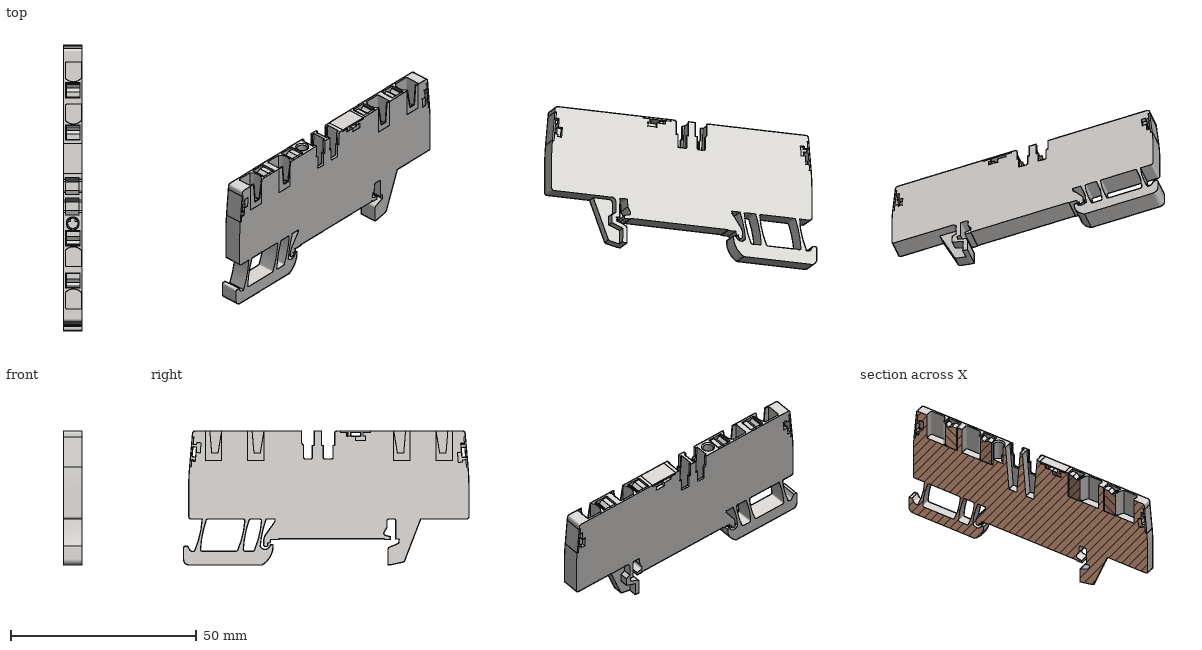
import cadquery as cq
import math


THICKNESS = 5.1
HEIGHT = 36.2
BODY_MID_Y = 0.7
BODY_HALF_LENGTH = 37.82
BODY_BOTTOM_Z = 12.4
END_TILT = 5.0
END_BEND_Z = 23.8
END_BEND_RADIUS = 60.0
TOP_CORNER_RADIUS = 0.8
BOTTOM_CORNER_RADIUS = 0.7

FOOT_END_Y = -38.52
FOOT_FLOOR_Z = 3.8
RAIL_FACE_Z = 7.05
RAIL_LIP_Z = 6.85
RAIL_SLOT_Y = (18.7, 16.45)
RAIL_SLOT_FILLET = 0.4
LEG_OFFSETS = (0.0, -4.5, -16.05)
LEG_ROOT_Y = (-16.2, -17.45)
LEG_END_Y = (-17.86, -19.5)
LEG_FILLET = 0.4
HOOK_FILLET = 0.8
FOOT_RECESS = 2.3

SIDE_WALL = 0.57
BRIDGE_POCKET_WIDTH = 3.73
BRIDGE_POCKET_LENGTH = 4.55
BRIDGE_POCKET_FLOOR = 2.35
BRIDGE_POCKET_DEPTH = 14.0
BRIDGE_SLOTS = ((0.5, 3.55, 2.6, 0.0), (-4.95, 3.4, 2.3, 0.65))
SLOT_FLOOR_Z = 28.65
SLOT_STEP_Z = 32.3
SLOT_FLOOR_FILLET = 0.35
SLOT_EDGE_FILLET = 0.6

CONDUCTOR_PITCH = 11.4
ENTRY_OUTER = 33.3
ENTRY_LENGTH = 5.35
ENTRY_BULGE = 0.95
ENTRY_WIDTH = 4.28
ENTRY_CORNER_RADIUS = 0.4
ENTRY_DEPTH = 8.0
NOTCH_TOP = (1.2, 4.4)
NOTCH_FLOOR = (1.7, 3.4)
NOTCH_DEPTH = 6.0
WINDOW_OUTER = 27.7
WINDOW_LENGTH = 4.1
WINDOW_WIDTH = 3.9
WINDOW_DEPTH = 8.0
PUSHER_END_GAP = 0.2
PUSHER_SIDE_GAP = 0.3
PUSHER_DROP = 0.4
PUSHER_RIM = 0.35
PUSHER_GROOVE_SLOPES = (0.9, 1.05)
PUSHER_GROOVE_DEPTH = 0.8

TEST_HOLE_Y = -9.54
TEST_HOLE_DIAMETER = 2.8
TEST_HOLE_MOUTH = 3.5
TEST_HOLE_DEPTH = 6.0
TEST_LEDGE_OFFSET = 0.55
TEST_LEDGE_HEIGHT = 2.0

MARKER_LENGTH = 8.1
MARKER_PLATE = 0.46
MARKER_SETBACK = 1.0
MARKER_TOP_Y = 7.9
MARKER_END_Z = 30.55
MARKER_GAP_DEPTH = 1.4
MARKER_HOOK_DEPTH = 2.55
MARKER_ARM = (1.97, 2.67)
MARKER_FOOT = (1.4, 4.1)
MARKER_LEG = (5.3, 6.2)
MARKER_CAVITY_END = 6.45

SIDES = (1, -1)
lean = math.tan(math.radians(END_TILT))


def lean_offset(z):
    """Distance from the middle of the body to the leaning end face at height z."""
    return BODY_HALF_LENGTH - lean * (z - END_BEND_Z)


def plate(points, thickness=THICKNESS):
    """Closed polygon in the YZ plane, extruded along X from X = 0."""
    return cq.Workplane("YZ").polyline(points).close().extrude(thickness)


def block(x_range, y_range, z_range):
    """Box between the given limits."""
    sizes = [abs(limits[1] - limits[0]) for limits in (x_range, y_range, z_range)]
    corner = (min(x_range), min(y_range), min(z_range))
    return cq.Workplane("XY").box(*sizes, centered=False).translate(corner)


def fillet_near(solid, places, radius):
    """Round the X-parallel edges that pass through the given (y, z) places."""
    reach = 0.05
    for y, z in places:
        box = cq.selectors.BoxSelector(
            (-reach, y - reach, z - reach), (THICKNESS + reach, y + reach, z + reach)
        )
        solid = solid.edges("|X").edges(box).fillet(radius)
    return solid


def body_slab():
    """Main slab, with upper end faces that bend gently into the lean."""
    half = BODY_HALF_LENGTH
    top_half = lean_offset(HEIGHT)
    bend_reach = END_BEND_RADIUS * math.tan(math.radians(END_TILT / 2))
    bend_low_z = END_BEND_Z - bend_reach
    bend_high_z = END_BEND_Z + bend_reach * math.cos(math.radians(END_TILT))
    bend_high = lean_offset(bend_high_z)
    slab = (
        cq.Workplane("YZ", origin=(0, BODY_MID_Y, 0))
        .moveTo(half, BODY_BOTTOM_Z)
        .lineTo(half, bend_low_z)
        .tangentArcPoint((bend_high, bend_high_z), relative=False)
        .lineTo(top_half, HEIGHT)
        .lineTo(-top_half, HEIGHT)
        .lineTo(-bend_high, bend_high_z)
        .tangentArcPoint((-half, bend_low_z), relative=False)
        .lineTo(-half, BODY_BOTTOM_Z)
        .close()
        .extrude(THICKNESS)
    )
    top_corners = [(BODY_MID_Y + side * top_half, HEIGHT) for side in SIDES]
    bottom_corners = [(BODY_MID_Y + side * half, BODY_BOTTOM_Z) for side in SIDES]
    slab = fillet_near(slab, top_corners, TOP_CORNER_RADIUS)
    return fillet_near(slab, bottom_corners, BOTTOM_CORNER_RADIUS)


def rail_block():
    """Part under the body that sits on the rail, with a beak on the -Y side."""
    top = BODY_BOTTOM_Z
    return (
        cq.Workplane("YZ")
        .moveTo(RAIL_SLOT_Y[1], top)
        .lineTo(16.4, 10.2)
        .lineTo(15.65, 8.9)
        .threePointArc((15.6, 8.35), (16.0, 8.0))
        .lineTo(17.3, 7.7)
        .lineTo(17.3, RAIL_LIP_Z)
        .lineTo(15.65, RAIL_LIP_Z)
        .lineTo(15.65, RAIL_FACE_Z)
        .lineTo(-12.75, RAIL_FACE_Z)
        .lineTo(-12.75, RAIL_LIP_Z)
        .lineTo(-15.0, RAIL_LIP_Z)
        .lineTo(-15.15, 5.9)
        .lineTo(-15.8, 5.9)
        .threePointArc((-16.5, 5.0), (-16.9, 5.8))
        .threePointArc((-16.85, 7.0), (-16.4, 8.15))
        .lineTo(-13.85, 11.8)
        .lineTo(-13.85, top)
        .close()
        .extrude(THICKNESS)
    )


def left_foot():
    """Clip foot on the +Y side: full-thickness hook and a thinner web behind it."""
    web_root = (25.5, BODY_BOTTOM_Z)
    web_heel = (21.1, 1.0)
    hook_tip = (16.6, 0.0)
    hook_nose = (16.6, 4.65)
    outline = plate([
        web_root, web_heel, (20.75, 0.8), (17.6, 0.1), hook_tip, hook_nose,
        (19.5, 5.9), (19.65, 7.0), (RAIL_SLOT_Y[0], 7.0), (RAIL_SLOT_Y[0], BODY_BOTTOM_Z),
    ])
    outline = fillet_near(outline, [hook_nose], HOOK_FILLET)
    recess = (
        cq.Workplane("YZ")
        .moveTo(20.9, BODY_BOTTOM_Z)
        .threePointArc((20.2, 12.1), (19.9, 11.4))
        .lineTo(19.9, 8.3)
        .lineTo(21.05, 7.6)
        .lineTo(21.05, 5.25)
        .lineTo(17.85, 4.0)
        .lineTo(17.85, 1.3)
        .lineTo(18.05, 0.0)
        .lineTo(web_root[0] + 1.0, 0.0)
        .lineTo(web_root[0] + 1.0, BODY_BOTTOM_Z)
        .close()
        .extrude(FOOT_RECESS)
    )
    return outline.cut(recess)


def foot_bar():
    """Bar of the -Y foot, with a round seat for the beak and an upturned end."""
    end_radius = 1.6
    notch_end = LEG_END_Y[1] + LEG_OFFSETS[-1]
    return (
        cq.Workplane("YZ")
        .moveTo(-14.3, 5.5)
        .lineTo(-14.4, 4.1)
        .threePointArc((-15.3, 1.95), (-17.3, 0.0))
        .lineTo(FOOT_END_Y + end_radius, 0.0)
        .radiusArc((FOOT_END_Y, end_radius), end_radius)
        .lineTo(FOOT_END_Y, 4.6)
        .threePointArc((-38.35, 5.0), (-38.0, 5.15))
        .lineTo(-37.4, 5.15)
        .lineTo(-36.8, 4.1)
        .threePointArc((-36.2, FOOT_FLOOR_Z - 0.1), (notch_end, FOOT_FLOOR_Z))
        .lineTo(LEG_END_Y[0], FOOT_FLOOR_Z)
        .lineTo(LEG_END_Y[0], 5.25)
        .threePointArc((-16.55, 4.25), (-15.2, 5.2))
        .lineTo(-15.1, 5.5)
        .close()
        .extrude(THICKNESS)
    )


def leg(offset):
    """Curved springy leg between the body and the foot bar."""
    return (
        cq.Workplane("YZ")
        .moveTo(LEG_ROOT_Y[0], BODY_BOTTOM_Z)
        .threePointArc((-17.2, 8.9), (LEG_END_Y[0], FOOT_FLOOR_Z))
        .lineTo(LEG_END_Y[1], FOOT_FLOOR_Z)
        .threePointArc((-18.2, 7.6), (LEG_ROOT_Y[1], BODY_BOTTOM_Z))
        .close()
        .extrude(THICKNESS)
        .translate((0, offset, 0))
    )


def leg_corners():
    """Inside corners of the two windows that the legs form."""
    corners = []
    for near, far in zip(LEG_OFFSETS, LEG_OFFSETS[1:]):
        corners += [
            (near + LEG_ROOT_Y[1], BODY_BOTTOM_Z), (far + LEG_ROOT_Y[0], BODY_BOTTOM_Z),
            (near + LEG_END_Y[1], FOOT_FLOOR_Z), (far + LEG_END_Y[0], FOOT_FLOOR_Z),
        ]
    return corners


def bridge_slot(mid_y, top_width, floor_width, ramp):
    """Stepped slot through both side walls; the -Y step slopes up by the ramp height."""
    top_half = top_width / 2
    floor_half = floor_width / 2
    top_z = HEIGHT + 1
    slot = plate([
        (mid_y - top_half, top_z), (mid_y - top_half, SLOT_STEP_Z + ramp),
        (mid_y - floor_half, SLOT_STEP_Z), (mid_y - floor_half, SLOT_FLOOR_Z),
        (mid_y + floor_half, SLOT_FLOOR_Z), (mid_y + floor_half, SLOT_STEP_Z),
        (mid_y + top_half, SLOT_STEP_Z), (mid_y + top_half, top_z),
    ])
    floor_corners = [(mid_y + side * floor_half, SLOT_FLOOR_Z) for side in SIDES]
    return fillet_near(slot, floor_corners, SLOT_FLOOR_FILLET)


def bridge_pocket(mid_y):
    """Deep tapered pocket between the side walls, wider than the slot above it."""
    top_half = BRIDGE_POCKET_LENGTH / 2
    floor_half = BRIDGE_POCKET_FLOOR / 2
    floor_z = HEIGHT - BRIDGE_POCKET_DEPTH
    pocket = plate([
        (mid_y - top_half, HEIGHT), (mid_y - floor_half, floor_z),
        (mid_y + floor_half, floor_z), (mid_y + top_half, HEIGHT),
    ], BRIDGE_POCKET_WIDTH)
    return pocket.translate((SIDE_WALL, 0, 0))


def wire_entry(side, outer):
    """Funnel with a rounded inner end, and a notch that opens the +X wall."""
    outer_y = BODY_MID_Y + side * outer
    shoulder_y = outer_y - side * (ENTRY_LENGTH - ENTRY_BULGE)
    inner_y = outer_y - side * ENTRY_LENGTH
    far_x = SIDE_WALL + ENTRY_WIDTH
    mid_x = SIDE_WALL + ENTRY_WIDTH / 2
    funnel = (
        cq.Workplane("XY")
        .workplane(offset=HEIGHT - ENTRY_DEPTH)
        .moveTo(SIDE_WALL, outer_y)
        .lineTo(SIDE_WALL, shoulder_y)
        .threePointArc((mid_x, inner_y), (far_x, shoulder_y))
        .lineTo(far_x, outer_y)
        .close()
        .extrude(ENTRY_DEPTH)
    )
    outer_face = ">Y" if side > 0 else "<Y"
    funnel = funnel.faces(outer_face).edges("|Z and <X").fillet(ENTRY_CORNER_RADIUS)
    notch_floor_z = HEIGHT - NOTCH_DEPTH
    notch = plate([
        (outer_y - side * NOTCH_TOP[0], HEIGHT), (outer_y - side * NOTCH_FLOOR[0], notch_floor_z),
        (outer_y - side * NOTCH_FLOOR[1], notch_floor_z), (outer_y - side * NOTCH_TOP[1], HEIGHT),
    ], THICKNESS - mid_x)
    return funnel.union(notch.translate((mid_x, 0, 0)))


def pusher_window(side, outer):
    """Rectangular well that a pusher stands in."""
    outer_y = BODY_MID_Y + side * outer
    return block(
        (SIDE_WALL, SIDE_WALL + WINDOW_WIDTH),
        (outer_y, outer_y - side * WINDOW_LENGTH),
        (HEIGHT - WINDOW_DEPTH, HEIGHT),
    )


def test_hole():
    """Countersunk blind hole with two ledges in its +Y corners."""
    radius = TEST_HOLE_DIAMETER / 2
    mid_x = THICKNESS / 2
    floor_z = HEIGHT - TEST_HOLE_DEPTH
    chamfer = (TEST_HOLE_MOUTH - TEST_HOLE_DIAMETER) / 2
    hole = (
        cq.Workplane("XZ")
        .polyline([
            (0, floor_z), (radius, floor_z), (radius, HEIGHT - chamfer),
            (radius + chamfer, HEIGHT), (0, HEIGHT),
        ])
        .close()
        .revolve(360, (0, 0, 0), (0, 1, 0))
        .translate((mid_x, TEST_HOLE_Y, 0))
    )
    for side in SIDES:
        ledge = block(
            (mid_x + side * TEST_LEDGE_OFFSET, mid_x + side * radius),
            (TEST_HOLE_Y + TEST_LEDGE_OFFSET, TEST_HOLE_Y + radius),
            (floor_z, floor_z + TEST_LEDGE_HEIGHT),
        )
        hole = hole.cut(ledge)
    return hole


def marker_strip(along, depth, start_x=0):
    """Strip of the marker in its own frame: plate along -Y, outer face at Z = 0."""
    hook_end = MARKER_LENGTH / 2
    return block(
        (start_x, THICKNESS), (hook_end - along[0], hook_end - along[1]), (-depth[0], -depth[1])
    )


def marker_shape(clip_start_x):
    """Plate with its clip parts starting at the given X."""
    face = marker_strip((0, MARKER_LENGTH), (0, MARKER_PLATE))
    arm = marker_strip(MARKER_ARM, (MARKER_PLATE, MARKER_HOOK_DEPTH), clip_start_x)
    foot = marker_strip(MARKER_FOOT, (MARKER_GAP_DEPTH, MARKER_HOOK_DEPTH), clip_start_x)
    short_leg = marker_strip(MARKER_LEG, (MARKER_PLATE, MARKER_GAP_DEPTH), clip_start_x)
    return face.union(arm).union(foot).union(short_leg)


def make_marker():
    """Marker whose clip parts are set back from the -X face."""
    return marker_shape(MARKER_SETBACK)


def marker_cavity():
    """Room for a marker, with the open gap between its hook and its short leg."""
    gap = marker_strip((MARKER_ARM[0], MARKER_CAVITY_END), (MARKER_PLATE, MARKER_GAP_DEPTH))
    return marker_shape(0).union(gap)


def place_markers(solid):
    """Copies of a marker-frame solid in the top face and in both end faces."""
    copies = [solid.translate((0, MARKER_TOP_Y, HEIGHT))]
    for side in SIDES:
        turn = -side * (90 - END_TILT)
        end_y = BODY_MID_Y + side * lean_offset(MARKER_END_Z)
        turned = solid.rotate((0, 0, 0), (1, 0, 0), turn)
        copies.append(turned.translate((0, end_y, MARKER_END_Z)))
    return copies


def make_pusher(side, outer):
    """Bar standing in its window, with a V-shaped groove across the top."""
    top_z = HEIGHT - PUSHER_DROP
    bottom_z = HEIGHT - WINDOW_DEPTH
    inner = outer - WINDOW_LENGTH + PUSHER_END_GAP
    rim_outer = outer - PUSHER_END_GAP
    groove_start = rim_outer - PUSHER_RIM
    groove_low = groove_start - PUSHER_GROOVE_SLOPES[0]
    groove_end = groove_low - PUSHER_GROOVE_SLOPES[1]
    outline = [
        (inner, bottom_z), (rim_outer, bottom_z), (rim_outer, top_z), (groove_start, top_z),
        (groove_low, top_z - PUSHER_GROOVE_DEPTH), (groove_end, top_z), (inner, top_z),
    ]
    points = [(BODY_MID_Y + side * distance, z) for distance, z in outline]
    bar = plate(points, WINDOW_WIDTH - PUSHER_SIDE_GAP)
    return bar.translate((SIDE_WALL + PUSHER_SIDE_GAP, 0, 0))


def make_housing():
    """Housing with its rail foot and every opening."""
    housing = body_slab().union(rail_block()).union(left_foot()).union(foot_bar())
    for offset in LEG_OFFSETS:
        housing = housing.union(leg(offset))
    corners = [(y, BODY_BOTTOM_Z) for y in RAIL_SLOT_Y]
    housing = fillet_near(housing, corners, RAIL_SLOT_FILLET)
    housing = fillet_near(housing, leg_corners(), LEG_FILLET)
    for mid_y, top_width, floor_width, ramp in BRIDGE_SLOTS:
        housing = housing.cut(bridge_slot(mid_y, top_width, floor_width, ramp))
    first_mid_y, first_width = BRIDGE_SLOTS[0][:2]
    housing = fillet_near(housing, [(first_mid_y + first_width / 2, HEIGHT)], SLOT_EDGE_FILLET)
    for slot in BRIDGE_SLOTS:
        housing = housing.cut(bridge_pocket(slot[0]))
    for side in SIDES:
        for inset in (0, CONDUCTOR_PITCH):
            housing = housing.cut(wire_entry(side, ENTRY_OUTER - inset))
            housing = housing.cut(pusher_window(side, WINDOW_OUTER - inset))
    housing = housing.cut(test_hole())
    for cavity in place_markers(marker_cavity()):
        housing = housing.cut(cavity)
    return housing


housing = make_housing()
pushers = [
    make_pusher(side, WINDOW_OUTER - inset) for side in SIDES for inset in (0, CONDUCTOR_PITCH)
]
markers = place_markers(make_marker())

result = cq.Compound.makeCompound([
    housing.val(),
    *[pusher.val() for pusher in pushers],
    *[marker.val() for marker in markers],
])